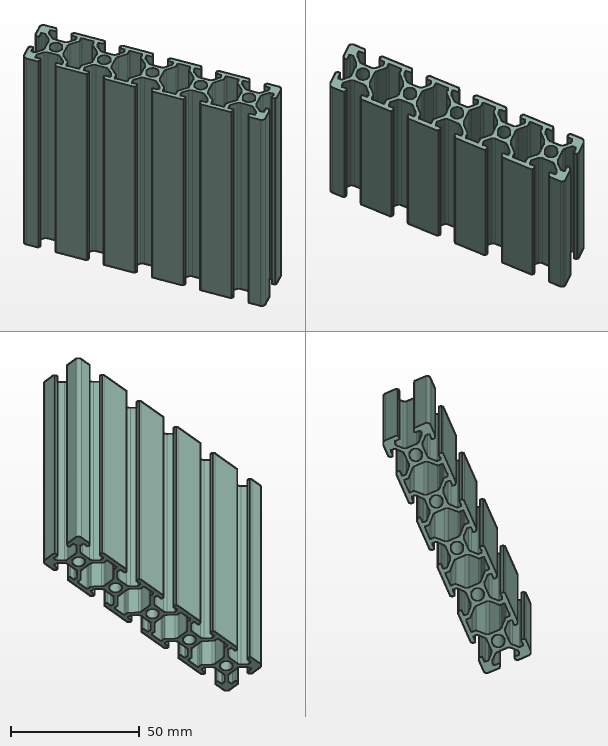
import cadquery as cq
cell = 20.0
cell_count = 5
length = 100.0
outer_corner_radius = 1.5

slot_mouth = 7.0
slot_throat = 6.2
slot_width = 11.0
slot_floor_width = 5.7
slot_floor_radius = 2.0

lip_thickness = 1.8
lip_step_depth = 0.5
lip_corner_radius = 0.4
lip_nose_radius = 0.3
lip_back_radius = 0.3

core_size = 7.8
bore_diameter = 5.0

chamber_neck_width = 5.4
chamber_belly_height = 5.7
chamber_belly_radius = 2.0

web_bend_radius = 0.3
inner_corner_radius = 0.3

half_cell = cell / 2
half_core = core_size / 2
width = cell * cell_count
lip_y = half_cell - lip_thickness
first_center = (cell - width) / 2
cell_centers = [first_center + i * cell for i in range(cell_count)]
chamber_centers = [x + half_cell for x in cell_centers[:-1]]


def base_plane():
    """Workplane on the lower end of the extrusion."""
    return cq.Workplane("XY").workplane(offset=-length / 2)


def prism(points):
    """Full-length prism along Z over a closed polygon."""
    return base_plane().polyline(points).close().extrude(length)


def mirrored_x(points):
    """Points reflected across the Y axis, in reverse order to continue the outline."""
    return [(-x, y) for x, y in reversed(points)]


def round_corner(solid, corners, radius):
    """Fillet the edges along Z that pass through the given XY corners."""
    reach = 0.01
    for x, y in corners:
        low = (x - reach, y - reach, -reach)
        high = (x + reach, y + reach, reach)
        solid = solid.edges(cq.selectors.BoxSelector(low, high)).fillet(radius)
    return solid


def make_bar():
    """Solid bar with rounded long edges, centred on the origin."""
    bar = cq.Workplane("XY").box(width, cell, length)
    return bar.edges("|Z").fillet(outer_corner_radius)


def make_slot():
    """T-slot cutter opening toward +Y, for a cell centred on the origin."""
    half_mouth = slot_mouth / 2
    half_throat = slot_throat / 2
    half_width = slot_width / 2
    half_floor = slot_floor_width / 2
    ledge_y = half_cell - lip_step_depth
    wall_y = half_core + half_width - half_floor

    flare = 2 * lip_corner_radius
    lip_corner = (half_mouth, half_cell)
    nose_corner = (half_throat, ledge_y)
    throat_corner = (half_throat, lip_y)
    back_corner = (half_width, lip_y)
    wall_bend = (half_width, wall_y)
    floor_corner = (half_floor, half_core)
    right_side = [
        (half_mouth + flare, half_cell + flare),
        (half_mouth + flare, half_cell),
        lip_corner,
        (half_mouth, ledge_y),
        nose_corner,
        throat_corner,
        back_corner,
        wall_bend,
        floor_corner,
    ]
    slot = prism(right_side + mirrored_x(right_side))
    for (x, y), radius in (
        (lip_corner, lip_corner_radius),
        (nose_corner, lip_nose_radius),
        (throat_corner, lip_back_radius),
        (back_corner, inner_corner_radius),
        (wall_bend, web_bend_radius),
        (floor_corner, slot_floor_radius),
    ):
        slot = round_corner(slot, [(x, y), (-x, y)], radius)
    return slot


def make_chamber():
    """Hollow chamber cutter, centred midway between two cells."""
    half_neck = chamber_neck_width / 2
    half_belly = half_cell - half_core
    belly_y = chamber_belly_height / 2
    belly_corner = (half_belly, belly_y)
    neck_bend = (half_neck, belly_y + half_belly - half_neck)
    top_corner = (half_neck, lip_y)
    upper_right = [belly_corner, neck_bend, top_corner]
    upper = upper_right + mirrored_x(upper_right)
    lower = [(-x, -y) for x, y in upper]
    chamber = prism(upper + lower)
    for (x, y), radius in (
        (belly_corner, chamber_belly_radius),
        (neck_bend, web_bend_radius),
        (top_corner, inner_corner_radius),
    ):
        chamber = round_corner(chamber, [(x, y), (-x, y), (-x, -y), (x, -y)], radius)
    return chamber


def place_slot(slot, x, angle):
    """Turn the slot about its cell centre, then move it to the cell at x."""
    return slot.rotate((0, 0, 0), (0, 0, 1), angle).translate((x, 0, 0))


result = make_bar()
slot_cutter = make_slot()
chamber_cutter = make_chamber()

for center in cell_centers:
    result = result.cut(place_slot(slot_cutter, center, 0))
    result = result.cut(place_slot(slot_cutter, center, 180))
result = result.cut(place_slot(slot_cutter, cell_centers[0], 90))
result = result.cut(place_slot(slot_cutter, cell_centers[-1], -90))

for center in chamber_centers:
    result = result.cut(chamber_cutter.translate((center, 0, 0)))

bore_points = [(center, 0) for center in cell_centers]
bores = base_plane().pushPoints(bore_points).circle(bore_diameter / 2).extrude(length)
result = result.cut(bores)